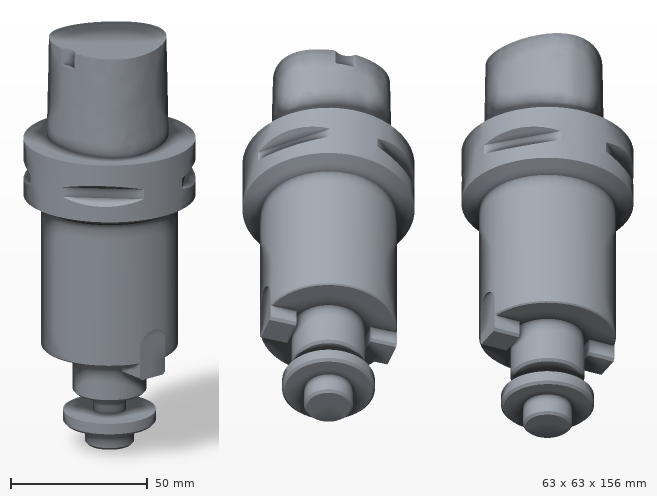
import cadquery as cq
import math

TOTAL_HEIGHT = 156.0
SHANK_LENGTH = 37.9
FLANGE_BASE_Z = TOTAL_HEIGHT - SHANK_LENGTH
FLANGE_BOTTOM_Z = 96.1
CONE_BOTTOM_Z = 92.8
BODY_BOTTOM_Z = 37.9
KEY_BOTTOM_Z = 31.7
PILOT_BOTTOM_Z = 20.1
WASHER_TOP_Z = 13.1
WASHER_BOTTOM_Z = 8.1

FLANGE_RADIUS = 63.0 / 2
BODY_RADIUS = 50.0 / 2
PILOT_RADIUS = 27.0 / 2
SCREW_RADIUS = 12.0 / 2
WASHER_RADIUS = 34.0 / 2
SCREW_HEAD_RADIUS = 18.0 / 2
BODY_CHAMFER = 0.5
CHAMFER = 1.0

SHANK_BASE_RADIUS = 22.2
SHANK_TOP_RADIUS = 21.4
LOBE_ECCENTRICITY = 1.33
LOBE_POINT_COUNT = 36

NOTCH_RADIUS = 5.0
NOTCH_HEIGHT = 6.2
NOTCH_FLOOR_Y = -18.1

GROOVE_COUNT = 4
GROOVE_Z = 106.1
GROOVE_FLOOR_DISTANCE = 27.8
GROOVE_FLOOR_HEIGHT = 3.7
GROOVE_FLANK_ANGLE = 30.0

KEY_WIDTH = 12.0
KEY_TOP_Z = 50.2
KEY_OUTER_X = 24.3
KEY_INNER_X = 14.2


def turned_section(radius, bottom_z, top_z, chamfer=0.0):
    """Round section with an optional chamfer at its lower edge."""
    section = cq.Workplane("XY", origin=(0, 0, bottom_z)).circle(radius).extrude(top_z - bottom_z)
    return section.faces("<Z").chamfer(chamfer) if chamfer else section


def flange():
    """Round collar with a conical underside running down to the body."""
    profile = [
        (0, FLANGE_BASE_Z),
        (FLANGE_RADIUS, FLANGE_BASE_Z),
        (FLANGE_RADIUS, FLANGE_BOTTOM_Z),
        (BODY_RADIUS, CONE_BOTTOM_Z),
        (0, CONE_BOTTOM_Z),
    ]
    return cq.Workplane("XZ").polyline(profile).close().revolve(360, (0, 0, 0), (0, 1, 0))


def lobe_points(mean_radius):
    """Points of a hypotrochoid outline with one lobe pointing toward +Y."""
    points = []
    for index in range(LOBE_POINT_COUNT):
        angle = 2 * math.pi * index / LOBE_POINT_COUNT
        x = LOBE_ECCENTRICITY * math.sin(2 * angle) - mean_radius * math.sin(angle)
        y = LOBE_ECCENTRICITY * math.cos(2 * angle) + mean_radius * math.cos(angle)
        points.append((x, y))
    return points


def shank():
    """Tapered three-lobed shank with a rounded notch at its upper end."""
    taper = (
        cq.Workplane("XY", origin=(0, 0, FLANGE_BASE_Z))
        .spline(lobe_points(SHANK_BASE_RADIUS), periodic=True, makeWire=True)
        .workplane(offset=SHANK_LENGTH)
        .spline(lobe_points(SHANK_TOP_RADIUS), periodic=True, makeWire=True)
        .loft(ruled=True)
    )
    notch = (
        cq.Workplane("XY", origin=(0, NOTCH_FLOOR_Y - NOTCH_RADIUS, TOTAL_HEIGHT - NOTCH_HEIGHT))
        .circle(NOTCH_RADIUS)
        .extrude(NOTCH_HEIGHT)
    )
    return taper.cut(notch)


def gripper_groove():
    """Straight groove with sloping flanks across the +X side of the flange."""
    depth = FLANGE_RADIUS - GROOVE_FLOOR_DISTANCE
    floor_half = GROOVE_FLOOR_HEIGHT / 2
    mouth_half = floor_half + depth * math.tan(math.radians(GROOVE_FLANK_ANGLE))
    profile = [
        (GROOVE_FLOOR_DISTANCE, GROOVE_Z - floor_half),
        (FLANGE_RADIUS, GROOVE_Z - mouth_half),
        (FLANGE_RADIUS, GROOVE_Z + mouth_half),
        (GROOVE_FLOOR_DISTANCE, GROOVE_Z + floor_half),
    ]
    return cq.Workplane("XZ").polyline(profile).close().extrude(FLANGE_RADIUS, both=True)


def key_block(inner_x, outer_x):
    """Upright block on the +X side with a round top and chamfered lower corners."""
    half = KEY_WIDTH / 2
    shoulder_z = KEY_TOP_Z - half
    return (
        cq.Workplane("YZ", origin=(inner_x, 0, 0))
        .moveTo(-half + CHAMFER, KEY_BOTTOM_Z)
        .lineTo(half - CHAMFER, KEY_BOTTOM_Z)
        .lineTo(half, KEY_BOTTOM_Z + CHAMFER)
        .lineTo(half, shoulder_z)
        .threePointArc((0, KEY_TOP_Z), (-half, shoulder_z))
        .lineTo(-half, KEY_BOTTOM_Z + CHAMFER)
        .close()
        .extrude(outer_x - inner_x)
    )


result = flange().union(shank())
result = result.union(turned_section(BODY_RADIUS, BODY_BOTTOM_Z, CONE_BOTTOM_Z, BODY_CHAMFER))
result = result.union(turned_section(PILOT_RADIUS, PILOT_BOTTOM_Z, BODY_BOTTOM_Z, CHAMFER))
result = result.union(turned_section(SCREW_RADIUS, WASHER_TOP_Z, PILOT_BOTTOM_Z))
result = result.union(turned_section(WASHER_RADIUS, WASHER_BOTTOM_Z, WASHER_TOP_Z, CHAMFER))
result = result.union(turned_section(SCREW_HEAD_RADIUS, 0, WASHER_BOTTOM_Z, CHAMFER))

for index in range(GROOVE_COUNT):
    groove_angle = (index + 0.5) * 360 / GROOVE_COUNT
    result = result.cut(gripper_groove().rotate((0, 0, 0), (0, 0, 1), groove_angle))

for key_angle in (0, 180):
    slot = key_block(KEY_OUTER_X, BODY_RADIUS).rotate((0, 0, 0), (0, 0, 1), key_angle)
    key = key_block(KEY_INNER_X, KEY_OUTER_X).rotate((0, 0, 0), (0, 0, 1), key_angle)
    result = result.cut(slot).union(key)